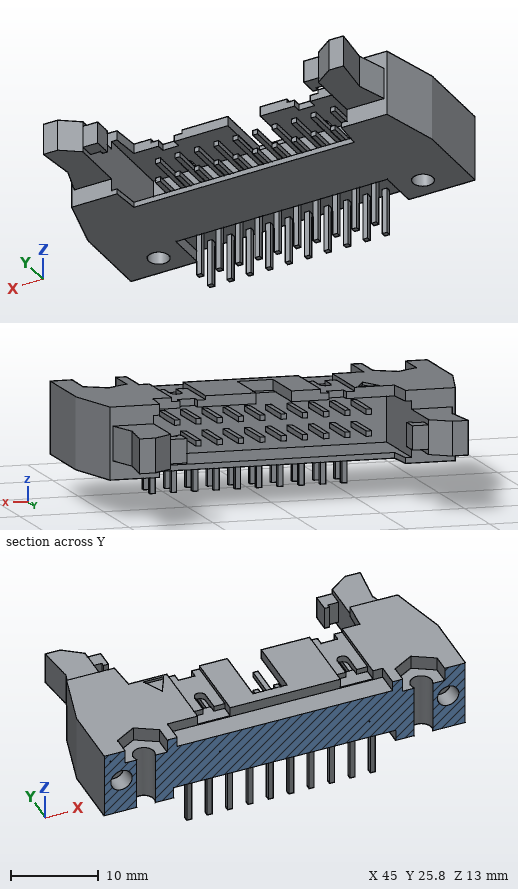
import cadquery as cq
import math

length = 45.0
height = 8.5
middle_z = height / 2
wall_end_y = 13.85
ear_end_y = 17.32
shoulder_y = 10.12
ear_outer_x = 20.6
ear_inner_x = 14.65
ear_root_x = 14.4

cavity_floor_y = 7.5
cavity_half_width = 15.4
cavity_top_wall = 1.25
cavity_bottom_wall = 0.68
cavity_top = height - cavity_top_wall

ledge_half_width = 13.4
ledge_length = 5.05
ledge_depth = 1.25
standoff_half_width = 13.8
standoff_height = 1.45

pins_per_row = 10
row_length = 22.85
pitch = row_length / (pins_per_row - 1)
pin_width = 0.65
pin_drop = 4.5
pin_tip_y = 13.55
front_leg_y = 1.1

key_half_width = 2.1
key_front_y = 6.5
groove_pitches = (-3, 4)
groove_width = 4.05
groove_depth = 0.45
step_depth = 1.12
step_end_y = 6.55
slot_width = 1.35
slot_end_y = 9.65
window_width = 2.05
window_length = 1.05

mark_x = -11.45
mark_width = 2.5
mark_height = 2.48
mark_depth = 0.3

hole_diameter = 2.6
mount_x = 17.3
mount_y = 2.9
nut_flats = 5.2
nut_depth = 1.7
front_hole_x = 20.35
front_hole_z = 4.45
front_hole_depth = 4.5

latch_height = 4.05
latch_tip_y = 25.75
latch_tip_x = 19.6
latch_waist = (19.1, 20.95)
latch_root_x = 20.25
latch_crown_x = 17.75
latch_overlap = 0.45
hook_height = 2.85
hook_rear_y = 24.05
hook_front_y = 22.25
hook_tip_x = 13.45
lip_width = 0.65
lip_length = 0.45


def box(x0, x1, y0, y1, z0, z1):
    """Block between two opposite corners."""
    return cq.Workplane("XY").box(x1 - x0, y1 - y0, z1 - z0, centered=False).translate((x0, y0, z0))


def prism(points, z0, z1):
    """Closed outline in XY, raised from z0 to z1."""
    return cq.Workplane("XY").workplane(offset=z0).polyline(points).close().extrude(z1 - z0)


def both_sides(shape):
    """The shape together with its mirror image across X = 0."""
    return shape.union(shape.mirror("YZ"))


def housing():
    right_half = [
        (0, 0),
        (length / 2, 0),
        (length / 2, shoulder_y),
        (ear_outer_x, ear_end_y),
        (ear_inner_x, ear_end_y),
        (ear_root_x, wall_end_y),
        (0, wall_end_y),
    ]
    body = both_sides(prism(right_half, 0, height))
    cavity = box(
        -cavity_half_width, cavity_half_width, cavity_floor_y, ear_end_y, cavity_bottom_wall, cavity_top
    )
    ledge = box(-ledge_half_width, ledge_half_width, 0, ledge_length, height - ledge_depth, height)
    standoff = box(-standoff_half_width, standoff_half_width, 0, ledge_length, 0, standoff_height)
    return body.cut(cavity).cut(ledge).cut(standoff)


def key_slot():
    return box(-key_half_width, key_half_width, key_front_y, wall_end_y, cavity_top, height)


def groove_cut(x):
    """Shallow groove with a deeper front step, a round-ended slot and a rear window."""
    half = groove_width / 2
    groove = box(x - half, x + half, ledge_length, wall_end_y, height - groove_depth, height)
    step = box(x - half, x + half, ledge_length, step_end_y, height - step_depth, height)
    radius = slot_width / 2
    slot_floor = height - step_depth
    arc_y = slot_end_y - radius
    slot = box(x - radius, x + radius, ledge_length, arc_y, slot_floor, height)
    opening = box(x - radius, x + radius, cavity_floor_y, arc_y, cavity_top, height)
    round_end = (
        cq.Workplane("XY")
        .workplane(offset=cavity_top)
        .center(x, arc_y)
        .circle(radius)
        .extrude(cavity_top_wall)
    )
    window = box(
        x - window_width / 2, x + window_width / 2, wall_end_y - window_length, wall_end_y, cavity_top, height
    )
    return groove.union(step).union(slot).union(opening).union(round_end).union(window)


def pin_one_mark():
    points = [
        (mark_x - mark_width / 2, pin_tip_y),
        (mark_x + mark_width / 2, pin_tip_y),
        (mark_x, pin_tip_y - mark_height),
    ]
    return prism(points, height - mark_depth, height)


def mounting_cuts():
    """Through holes, nut pockets open to the front, and blind front holes."""
    half = nut_flats / 2
    corner_y = mount_y + half * math.tan(math.radians(30))
    apex_y = mount_y + half / math.cos(math.radians(30))
    pocket_outline = [
        (mount_x - half, 0),
        (mount_x + half, 0),
        (mount_x + half, corner_y),
        (mount_x, apex_y),
        (mount_x - half, corner_y),
    ]
    pocket = prism(pocket_outline, height - nut_depth, height)
    hole = cq.Workplane("XY").center(mount_x, mount_y).circle(hole_diameter / 2).extrude(height)
    front_hole = (
        cq.Workplane("XZ")
        .center(front_hole_x, front_hole_z)
        .circle(hole_diameter / 2)
        .extrude(-front_hole_depth)
    )
    return both_sides(pocket.union(hole).union(front_hole))


def latch():
    """Right-hand latch with its hook, rooted in the ear."""
    z0 = middle_z - latch_height / 2
    arm_outline = [
        (cavity_half_width, ear_end_y - latch_overlap),
        (latch_root_x, ear_end_y - latch_overlap),
        (latch_root_x, ear_end_y),
        latch_waist,
        (latch_tip_x, latch_tip_y),
        (latch_crown_x, latch_tip_y),
        (cavity_half_width, hook_rear_y),
    ]
    hook_outline = [
        (cavity_half_width, hook_rear_y),
        (hook_tip_x, hook_rear_y),
        (hook_tip_x, hook_front_y - lip_length),
        (hook_tip_x + lip_width, hook_front_y - lip_length),
        (hook_tip_x + lip_width, hook_front_y),
        (cavity_half_width, hook_front_y),
    ]
    arm = prism(arm_outline, z0, z0 + latch_height)
    hook = prism(hook_outline, middle_z - hook_height / 2, middle_z + hook_height / 2)
    return arm.union(hook)


def pin(x, leg_y, row_z):
    """Square pin: a leg below the housing, bent to run rearward through the cavity."""
    half = pin_width / 2
    leg = box(x - half, x + half, leg_y - half, leg_y + half, -pin_drop, row_z + half)
    blade = box(x - half, x + half, leg_y - half, pin_tip_y, row_z - half, row_z + half)
    return leg.union(blade)


result = housing().cut(key_slot()).cut(pin_one_mark()).cut(mounting_cuts())
for pitches in groove_pitches:
    result = result.cut(groove_cut(pitches * pitch))
result = result.union(both_sides(latch()))
for index in range(pins_per_row):
    pin_x = (index - (pins_per_row - 1) / 2) * pitch
    result = result.union(pin(pin_x, front_leg_y, middle_z + pitch / 2))
    result = result.union(pin(pin_x, front_leg_y + pitch, middle_z - pitch / 2))